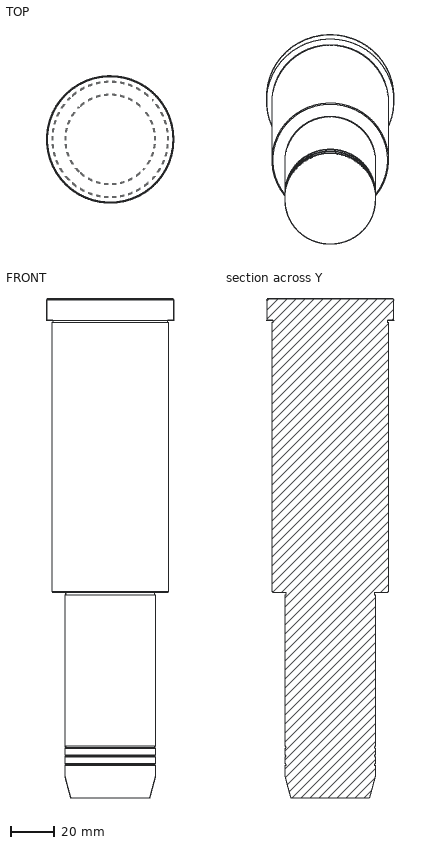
import cadquery as cq
import math

total_length = 231.0
head_length = 10.0
shank_length = 95.0
tip_length = 10.0

head_radius = 59.0 / 2
body_radius = 54.0 / 2
shank_radius = 42.0 / 2

head_chamfer = 0.5
body_chamfer = 0.5
tip_angle = 15.0
tip_round = 0.5

relief_width = 1.0
relief_depth = 0.4

groove_count = 3
groove_width = 1.0
groove_depth = 0.5
groove_pitch = 4.0
first_groove_z = 15.0

head_bottom = total_length - head_length
tip_radius = shank_radius - tip_length * math.tan(math.radians(tip_angle))


def stepped_pin():
    """Head, body, shank and tapered tip revolved about Z as one profile."""
    profile = (
        cq.Workplane("XZ")
        .lineTo(tip_radius, 0)
        .lineTo(shank_radius, tip_length)
        .lineTo(shank_radius, shank_length)
        .lineTo(body_radius - body_chamfer, shank_length)
        .lineTo(body_radius, shank_length + body_chamfer)
        .lineTo(body_radius, head_bottom)
        .lineTo(head_radius, head_bottom)
        .lineTo(head_radius, total_length - head_chamfer)
        .lineTo(head_radius - head_chamfer, total_length)
        .lineTo(0, total_length)
        .close()
    )
    pin = profile.revolve(360, (0, 0), (0, 1))
    return pin.faces("<Z").edges().fillet(tip_round)


def shoulder_relief(surface_radius, shoulder_z):
    """Ring that undercuts a cylinder just below the shoulder above it."""
    ring = cq.Workplane("XY").workplane(offset=shoulder_z - relief_width)
    ring = ring.circle(surface_radius + relief_depth).circle(surface_radius - relief_depth)
    return ring.extrude(relief_width)


def ring_groove(bottom_z):
    """Ring of diamond section whose inner half cuts a V-groove in the shank."""
    middle_z = bottom_z + groove_width / 2
    section = (
        cq.Workplane("XZ")
        .moveTo(shank_radius, bottom_z)
        .lineTo(shank_radius - groove_depth, middle_z)
        .lineTo(shank_radius, bottom_z + groove_width)
        .lineTo(shank_radius + groove_depth, middle_z)
        .close()
    )
    return section.revolve(360, (0, 0), (0, 1))


result = stepped_pin()
result = result.cut(shoulder_relief(body_radius, head_bottom))
result = result.cut(shoulder_relief(shank_radius, shank_length))
for index in range(groove_count):
    result = result.cut(ring_groove(first_groove_z + index * groove_pitch))